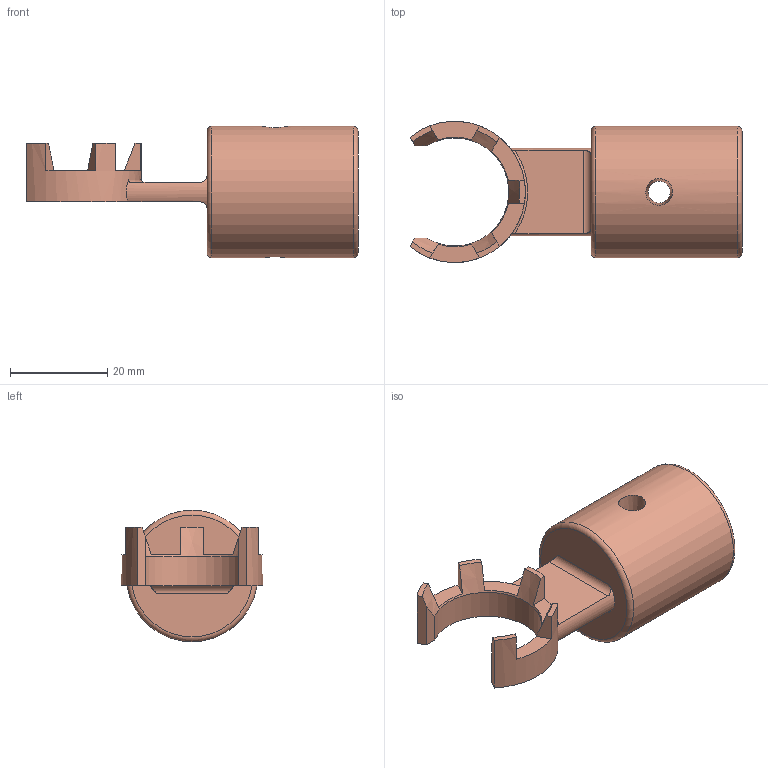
import cadquery as cq
import math


barrel_radius = 13.5
barrel_length = 31.0
barrel_start = 28.0
barrel_edge_radius = 1.0

cross_hole_top_diameter = 5.5
cross_hole_bottom_diameter = 4.5
cross_hole_offset = 14.0
cross_hole_x = barrel_start + cross_hole_offset

neck_thickness = 4.0
neck_width = 18.0
neck_side_radius = 4.5
neck_root_fillet = 1.5
ring_joint_fillet = 0.5

ring_outer_radius = 14.5
ring_inner_radius = 11.1
flare_top_radius = 13.4
ring_bottom = -neck_thickness / 2
flare_start = ring_bottom + 6.0
band_top = ring_bottom + 6.4
finger_top = ring_bottom + 12.0
mouth_width = 19.0

neck_bore_gap = 0.1
neck_start = ring_inner_radius + neck_bore_gap
neck_end = barrel_start + barrel_edge_radius

finger_width = 4.7
finger_pitch = 60.0
finger_angles = [step * finger_pitch for step in range(-2, 3)]


def make_barrel():
    """Solid cylinder with both end rims rounded."""
    barrel = cq.Workplane("YZ", origin=(barrel_start, 0, 0)).circle(barrel_radius).extrude(barrel_length)
    return barrel.faces("<X or >X").edges().fillet(barrel_edge_radius)


def make_cross_hole():
    """Cone through the whole barrel, wider at the top."""
    top_radius = cross_hole_top_diameter / 2
    bottom_radius = cross_hole_bottom_diameter / 2
    hole = cq.Solid.makeCone(
        bottom_radius, top_radius, 2 * barrel_radius, pnt=cq.Vector(cross_hole_x, 0, -barrel_radius)
    )
    return cq.Workplane(obj=hole)


def make_side_envelope():
    """Bar along X whose bulged long sides bound the neck and its fillets."""
    half = neck_thickness / 2 + neck_root_fillet
    side = neck_width / 2
    corner = side - neck_side_radius + math.sqrt(neck_side_radius**2 - half**2)
    return (
        cq.Workplane("YZ", origin=(neck_start, 0, 0))
        .moveTo(-corner, -half)
        .lineTo(corner, -half)
        .threePointArc((side, 0), (corner, half))
        .lineTo(-corner, half)
        .threePointArc((-side, 0), (-corner, -half))
        .close()
        .extrude(neck_end - neck_start)
    )


def make_neck():
    """Flat plate with bulged long sides, flaring into the barrel face at its root."""
    half = neck_thickness / 2
    flare_half = half + neck_root_fillet
    flare_x = barrel_start - neck_root_fillet
    arc_inset = neck_root_fillet * (1 - math.cos(math.radians(45)))
    arc_x = barrel_start - arc_inset
    arc_z = half + arc_inset
    profile = (
        cq.Workplane("XZ")
        .moveTo(neck_start, -half)
        .lineTo(flare_x, -half)
        .threePointArc((arc_x, -arc_z), (barrel_start, -flare_half))
        .lineTo(neck_end, -flare_half)
        .lineTo(neck_end, flare_half)
        .lineTo(barrel_start, flare_half)
        .threePointArc((arc_x, arc_z), (flare_x, half))
        .lineTo(neck_start, half)
        .close()
        .extrude(neck_width / 2, both=True)
    )
    return profile.intersect(make_side_envelope())


def make_joint_fillet():
    """Concave fillet between the top of the neck and the outside of the ring."""
    neck_top = neck_thickness / 2
    outer = ring_outer_radius + ring_joint_fillet
    top = neck_top + ring_joint_fillet
    inset = ring_joint_fillet * (1 - math.cos(math.radians(45)))
    swept = (
        cq.Workplane("XZ")
        .moveTo(neck_start, 0)
        .lineTo(outer, 0)
        .lineTo(outer, neck_top)
        .threePointArc((ring_outer_radius + inset, neck_top + inset), (ring_outer_radius, top))
        .lineTo(neck_start, top)
        .close()
        .revolve(360, (0, 0, 0), (0, 1, 0))
    )
    return swept.intersect(make_side_envelope())


def make_ring():
    """Open clip ring carrying evenly spaced fingers with flared inner faces."""
    ring = (
        cq.Workplane("XZ")
        .moveTo(ring_inner_radius, ring_bottom)
        .lineTo(ring_outer_radius, ring_bottom)
        .lineTo(ring_outer_radius, finger_top)
        .lineTo(flare_top_radius, finger_top)
        .lineTo(ring_inner_radius, flare_start)
        .close()
        .revolve(360, (0, 0, 0), (0, 1, 0))
    )
    return ring.cut(make_gaps()).cut(make_mouth())


def make_gaps():
    """Everything above the ring band except the fingers."""
    height = finger_top - band_top
    gaps = cq.Workplane("XY", origin=(0, 0, band_top)).circle(2 * ring_outer_radius).extrude(height)
    for angle in finger_angles:
        finger = (
            cq.Workplane("XY", origin=(0, 0, band_top))
            .rect(2 * ring_outer_radius, finger_width)
            .extrude(height)
            .translate((ring_outer_radius, 0, 0))
            .rotate((0, 0, 0), (0, 0, 1), angle)
        )
        gaps = gaps.cut(finger)
    return gaps


def make_mouth():
    """Opening on the -X side, bounded by the outer sides of the two end fingers."""
    height = finger_top - ring_bottom
    end_angle = math.radians(finger_angles[-1])
    reach = 2 * ring_outer_radius
    side_x = -finger_width / 2 * math.sin(end_angle)
    side_y = finger_width / 2 * math.cos(end_angle)
    slope = math.tan(end_angle)

    def side_line_x(y):
        return side_x + (y - side_y) / slope

    half_mouth = mouth_width / 2
    return (
        cq.Workplane("XY", origin=(0, 0, ring_bottom))
        .moveTo(side_line_x(reach), reach)
        .lineTo(side_line_x(half_mouth), half_mouth)
        .lineTo(0, half_mouth)
        .lineTo(0, -half_mouth)
        .lineTo(side_line_x(half_mouth), -half_mouth)
        .lineTo(side_line_x(reach), -reach)
        .lineTo(-reach, -reach)
        .lineTo(-reach, reach)
        .close()
        .extrude(height)
    )


barrel = make_barrel().cut(make_cross_hole())
result = barrel.union(make_neck()).union(make_ring()).union(make_joint_fillet())